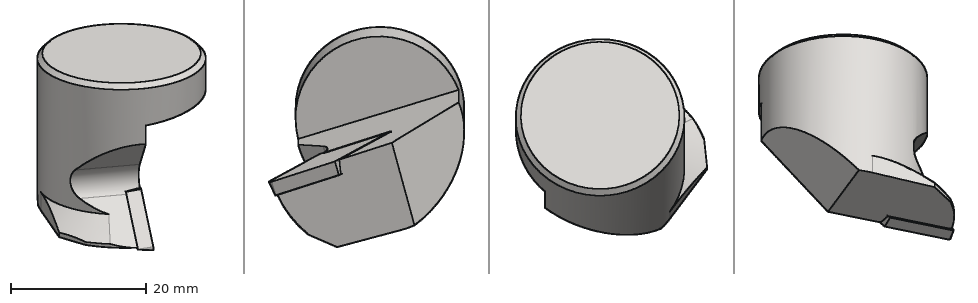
import cadquery as cq
import math


SHANK_RADIUS = 12.493
TOP_CHAMFER = 0.77
REACH = 35.4

FOOT_TOP_Z = -20.7
FOOT_RADIUS = 16.45
FLARE_ANGLE = 38.1
FOOT_CORNER_START_X = 9.82
FOOT_CORNER_END_X = 13.45
FOOT_CORNER_END_Y = -math.sqrt(FOOT_RADIUS**2 - FOOT_CORNER_END_X**2)

HEEL_X = -2.06
HEEL_Z = -23.5
BOTTOM_ANGLE = 3.0
RELIEF_ANGLE = 45.0

RAKE_ANGLE = 3.0
RAKE_OFFSET = 0.77
STEP_Z = -6.73
STEP_ANGLE = 5.0

GULLET_TIP_X = 6.6
GULLET_TIP_Z = -16.82
GULLET_UPPER_ANGLE = 50.7
GULLET_RADIUS = 3.1

INSERT_PROUD = 0.1
INSERT_FACE_OFFSET = RAKE_OFFSET + INSERT_PROUD
INSERT_SIDE = 9.88
INSERT_THICKNESS = 2.3
INSERT_CLEARANCE = 7.0
INSERT_NOSE_RADIUS = 0.38
NOSE_X = 17.0
NOSE_Z = -25.0


def along(point, angle, distance):
    """Point at a distance from another, in a direction given in degrees."""
    turn = math.radians(angle)
    return (point[0] + distance * math.cos(turn), point[1] + distance * math.sin(turn))


def turn_to_rake(shape):
    """Turn a shape built square to Y so that it is square to the rake face."""
    return shape.rotate((0, 0, 0), (0, 0, 1), -RAKE_ANGLE)


def make_shank():
    shank = cq.Workplane("XY").circle(SHANK_RADIUS).extrude(-REACH)
    return shank.faces(">Z").chamfer(TOP_CHAMFER)


def make_foot():
    rim_z = FOOT_TOP_Z - (FOOT_RADIUS - SHANK_RADIUS) * math.tan(math.radians(FLARE_ANGLE))
    flare = (
        cq.Workplane("XZ")
        .moveTo(0, FOOT_TOP_Z)
        .lineTo(SHANK_RADIUS, FOOT_TOP_Z)
        .lineTo(FOOT_RADIUS, rim_z)
        .lineTo(FOOT_RADIUS, -REACH)
        .lineTo(0, -REACH)
        .close()
        .revolve(360, (0, 0), (0, 1))
    )
    plan = (
        cq.Workplane("XY")
        .moveTo(0, -SHANK_RADIUS)
        .lineTo(FOOT_CORNER_START_X, -SHANK_RADIUS)
        .lineTo(FOOT_CORNER_END_X, FOOT_CORNER_END_Y)
        .lineTo(REACH, FOOT_CORNER_END_Y)
        .lineTo(REACH, REACH)
        .lineTo(0, REACH)
        .close()
        .extrude(-REACH)
    )
    return flare.intersect(plan)


def make_underside_cutter():
    heel = (HEEL_X, HEEL_Z)
    outline = [
        heel,
        along(heel, -BOTTOM_ANGLE, REACH),
        (REACH, -2 * REACH),
        (-REACH, -2 * REACH),
        along(heel, 180 - RELIEF_ANGLE, REACH),
    ]
    return cq.Workplane("XZ").polyline(outline).close().extrude(REACH, both=True)


def make_rake_cutter():
    inner = (RAKE_OFFSET, STEP_Z)
    outline = [
        inner,
        along(inner, STEP_ANGLE, REACH),
        (2 * REACH, -2 * REACH),
        (RAKE_OFFSET, -2 * REACH),
    ]
    cutter = cq.Workplane("YZ").polyline(outline).close().extrude(REACH, both=True)
    return turn_to_rake(cutter)


def make_gullet_cutter():
    corner = (GULLET_TIP_X, GULLET_TIP_Z)
    outline = [
        corner,
        along(corner, GULLET_UPPER_ANGLE, REACH),
        along(corner, -FLARE_ANGLE, REACH),
    ]
    cutter = cq.Workplane("XZ").polyline(outline).close().extrude(REACH, both=True)
    return turn_to_rake(cutter.edges("|Y").edges("<X").fillet(GULLET_RADIUS))


def make_insert():
    half_point = (FLARE_ANGLE - BOTTOM_ANGLE) / 2
    axis_angle = 180 - (FLARE_ANGLE + BOTTOM_ANGLE) / 2
    nose_center = (NOSE_X - INSERT_NOSE_RADIUS, NOSE_Z + INSERT_NOSE_RADIUS)
    corner_gap = INSERT_NOSE_RADIUS / math.sin(math.radians(half_point))
    tip = along(nose_center, axis_angle, -corner_gap)

    side = INSERT_SIDE + INSERT_NOSE_RADIUS / math.tan(math.radians(half_point))
    upper = along(tip, 180 - FLARE_ANGLE, side)
    lower = along(tip, 180 - BOTTOM_ANGLE, side)
    far = along(upper, 180 - BOTTOM_ANGLE, side)
    sharp = cq.Workplane("XZ").polyline([tip, upper, far, lower]).close().extrude(INSERT_THICKNESS)
    outline = sharp.edges("|Y").edges(">X").fillet(INSERT_NOSE_RADIUS).faces(">Y").wires()
    insert = (
        cq.Workplane("XZ", origin=(0, INSERT_FACE_OFFSET, 0))
        .add(outline.translate((0, INSERT_FACE_OFFSET, 0)))
        .toPending()
        .extrude(INSERT_THICKNESS, taper=INSERT_CLEARANCE)
    )
    return turn_to_rake(insert)


def make_holder(insert):
    holder = make_shank().union(make_foot())
    holder = holder.cut(make_underside_cutter())
    holder = holder.cut(make_rake_cutter())
    holder = holder.cut(make_gullet_cutter())
    return holder.cut(insert)


insert = make_insert()
holder = make_holder(insert)

result = cq.Compound.makeCompound([*holder.solids().vals(), insert.val()])